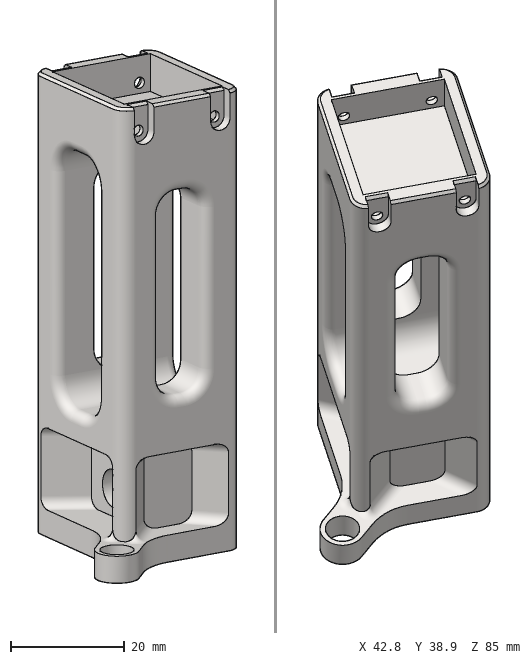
import cadquery as cq
import math

height = 85.0
column_x = 29.5
column_y = 25.4
corner_radius = 3.0
top_chamfer = 0.5

base_height = 5.0
ear_radius = 4.0
ear_center_x = 42.8 / 2 - ear_radius
ear_center_y = 38.85 / 2 - ear_radius
ear_hole_diameter = 6.0
ear_blend_radius = 10.0

socket_x = 16.0
socket_y = 6.0
socket_depth = 20.0
socket_wall = 2.0

recess_top = 20.15
front_recess_inner_width = 14.3
side_recess_inner_width = 10.0
recess_fillet = 2.0
cross_hole_diameter = 7.0
cross_hole_height = 10.2

window_fillet = 1.95
rim_reach = 0.1
front_window_width = 13.5
front_window_radius = 5.0
front_window_bottom = 25.25
front_window_top = 73.0
side_window_width = 9.5
side_window_radius = 4.0
side_window_bottom = 30.2
side_window_top = 68.0

tray_x = 23.5
tray_y = 20.6
tray_depth = 7.0
slot_width = 4.1
slot_depth = 1.95
slot_spacing = 16.0
pin_hole_diameter = 2.0
pin_hole_height = height - 5.0

half_x = column_x / 2
half_y = column_y / 2
block_x = socket_x + 2 * socket_wall
block_y = socket_y + 2 * socket_wall
flat_x = half_x - corner_radius
flat_y = half_y - corner_radius


def half_turn(shape):
    """Copy a shape to the diagonally opposite side of the column."""
    return shape.rotate((0, 0, 0), (0, 0, 1), 180)


def make_column():
    return (
        cq.Workplane("XY")
        .rect(column_x, column_y)
        .extrude(height)
        .edges("|Z")
        .fillet(corner_radius)
        .faces(">Z")
        .edges()
        .chamfer(top_chamfer)
    )


def make_base():
    """Plate under the column with an ear at the +X -Y and the -X +Y corner."""
    base = cq.Workplane("XY").rect(column_x, column_y).extrude(base_height)
    base = base.edges("|Z").fillet(corner_radius)
    ear_center = (ear_center_x, -ear_center_y)
    ear_length = math.hypot(half_x, half_y)
    ear = cq.Workplane("XY").center(*ear_center).circle(ear_radius).extrude(base_height)
    arm = (
        cq.Workplane("XY")
        .center(*ear_center)
        .transformed(rotate=(0, 0, 135))
        .center(ear_length / 2, 0)
        .rect(ear_length, 2 * ear_radius)
        .extrude(base_height)
    )
    ear = ear.union(arm)
    base = base.union(ear).union(half_turn(ear))

    middle = ear_center_x - ear_center_y
    spread = ear_radius * math.sqrt(2)
    front_corner = (middle - spread + half_y, -half_y)
    side_corner = (half_x, middle + spread - half_x)
    for x, y in (front_corner, side_corner):
        for sign in (1, -1):
            nearest = cq.selectors.NearestToPointSelector((sign * x, sign * y, base_height / 2))
            base = base.edges(nearest).fillet(ear_blend_radius)
    return base


def recess_corners(mouth_half, mouth_depth, inner_half, inner_depth):
    """Corners of a front recess that narrows from the column face to the block."""
    return [
        (-mouth_half, -mouth_depth),
        (-inner_half, -inner_depth),
        (inner_half, -inner_depth),
        (mouth_half, -mouth_depth),
    ]


def make_recess(corners):
    recess = cq.Workplane("XY").workplane(offset=base_height).polyline(corners).close()
    recess = recess.extrude(recess_top - base_height)
    for start, end in (corners[:2], corners[2:]):
        middle = ((start[0] + end[0]) / 2, (start[1] + end[1]) / 2, recess_top)
        recess = recess.edges(cq.selectors.NearestToPointSelector(middle)).fillet(recess_fillet)
    return recess


def fillet_profile(plane):
    """Concave quarter-round section that fills the corner at the plane's origin."""
    inset = recess_fillet * (1 - math.sqrt(0.5))
    return (
        cq.Workplane(plane)
        .lineTo(recess_fillet, 0)
        .threePointArc((inset, inset), (0, recess_fillet))
        .close()
    )


def make_foot_fillet(mouth, inner):
    """Fillet of the right wall of a front recess, turned around the wall's outer edge."""
    run_x = inner[0] - mouth[0]
    run_y = inner[1] - mouth[1]
    run_length = math.hypot(run_x, run_y) + recess_fillet
    section = cq.Plane(
        origin=(mouth[0], mouth[1], base_height),
        xDir=(-run_y, run_x, 0),
        normal=(run_x, run_y, 0),
    )
    straight = fillet_profile(section).extrude(run_length)
    turned = fillet_profile(section).revolve(180, (0, 0), (0, 1))
    return straight.union(turned)


def recess_and_feet(mouth_half, mouth_depth, inner_half, inner_depth):
    corners = recess_corners(mouth_half, mouth_depth, inner_half, inner_depth)
    right_foot = make_foot_fillet(corners[3], corners[2])
    return make_recess(corners), right_foot.union(right_foot.mirror("YZ"))


def cut_recesses(body, base):
    front, front_feet = recess_and_feet(flat_x, half_y, front_recess_inner_width / 2, block_y / 2)
    side, side_feet = recess_and_feet(flat_y, half_x, side_recess_inner_width / 2, block_x / 2)
    footprint = base.translate((0, 0, base_height))
    for recess, feet, angle in ((front, front_feet, 0), (side, side_feet, 90)):
        for turn in (angle, angle + 180):
            placed_feet = feet.rotate((0, 0, 0), (0, 0, 1), turn).intersect(footprint)
            body = body.cut(recess.rotate((0, 0, 0), (0, 0, 1), turn)).union(placed_feet)
    return body


def cut_window(body, plane, face_distance, width, radius, bottom, top):
    """Cut a rounded window right through and round over its rim on both faces."""
    axis = cq.Plane.named(plane).zDir
    window = (
        cq.Workplane(plane)
        .center(0, (bottom + top) / 2)
        .rect(width, top - bottom)
        .extrude(face_distance, both=True)
        .edges(cq.selectors.ParallelDirSelector(axis))
        .fillet(radius)
    )
    body = body.cut(window)
    rim = cq.Workplane(plane).center(0, (bottom + top) / 2)
    reach_x = width / 2 + rim_reach
    reach_z = (top - bottom) / 2 + rim_reach
    for side in (1, -1):
        rim_edges = cq.selectors.BoxSelector(
            rim.plane.toWorldCoords((-reach_x, -reach_z, side * face_distance - rim_reach)),
            rim.plane.toWorldCoords((reach_x, reach_z, side * face_distance + rim_reach)),
        )
        body = body.edges(rim_edges).fillet(window_fillet)
    return body


def make_slot(y):
    """Cutter for one slot in the +X tray wall, with its pin hole."""
    slot_floor_x = half_x - slot_depth
    slot_plane = cq.Workplane(cq.Plane.YZ(origin=(slot_floor_x, y, pin_hole_height)))
    slot_height = height - pin_hole_height
    slot = slot_plane.circle(slot_width / 2).extrude(slot_depth)
    slot = slot.union(
        slot_plane.center(0, slot_height / 2).rect(slot_width, slot_height).extrude(slot_depth)
    )
    chamfer = (
        cq.Workplane(cq.Plane.XZ(origin=(slot_floor_x, y, height)))
        .polyline([(0, 0), (-top_chamfer, 0), (0, -top_chamfer)])
        .close()
        .extrude(slot_width / 2, both=True)
    )
    pin_hole = slot_plane.circle(pin_hole_diameter / 2).extrude(-(half_x - tray_x / 2))
    return slot.union(chamfer).union(pin_hole)


def cut_tray(body):
    tray = cq.Workplane("XY").workplane(offset=height).rect(tray_x, tray_y).extrude(-tray_depth)
    body = body.cut(tray)
    for y in (slot_spacing / 2, -slot_spacing / 2):
        slot = make_slot(y)
        body = body.cut(slot).cut(half_turn(slot))
    return body


def cut_holes(body):
    socket = cq.Workplane("XY").rect(socket_x, socket_y).extrude(socket_depth)
    cross_hole = (
        cq.Workplane("XZ")
        .center(0, cross_hole_height)
        .circle(cross_hole_diameter / 2)
        .extrude(half_y, both=True)
    )
    ear_holes = (
        cq.Workplane("XY")
        .pushPoints([(ear_center_x, -ear_center_y), (-ear_center_x, ear_center_y)])
        .circle(ear_hole_diameter / 2)
        .extrude(base_height)
    )
    return body.cut(socket).cut(cross_hole).cut(ear_holes)


base = make_base()
body = make_column()
body = cut_window(body, "XZ", half_y, front_window_width, front_window_radius,
                  front_window_bottom, front_window_top)
body = cut_window(body, "YZ", half_x, side_window_width, side_window_radius,
                  side_window_bottom, side_window_top)
body = cut_recesses(body.union(base), base)
body = cut_tray(body)
result = cut_holes(body)